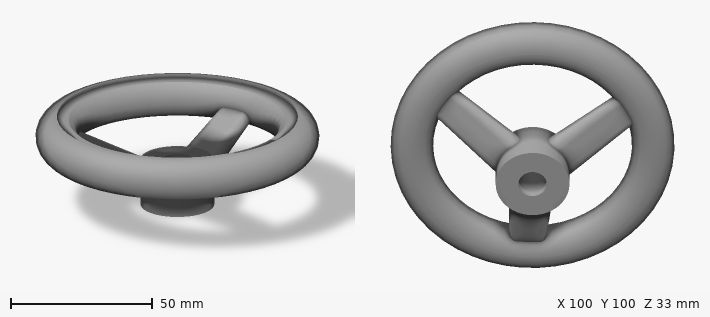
import cadquery as cq
import math

rim_outer_radius = 50.0
rim_section_radius = 7.5
rim_center_radius = rim_outer_radius - rim_section_radius
total_height = 33.0
rim_center_z = total_height - rim_section_radius
flat_inner_radius = 38.3
flat_rise = math.sqrt(rim_section_radius**2 - (rim_center_radius - flat_inner_radius) ** 2)

hub_radius = 13.0
hub_height = 17.0
bore_radius = 5.0

spoke_count = 3
first_spoke_angle = 90.0
spoke_flat_width = 8.0
spoke_root_radius = 8.0
spoke_root_z = 9.4
spoke_root_thickness = 8.0
spoke_tip_thickness = 4.4


def make_rim():
    """Revolve the rim section about Z, with a step at its centre radius."""
    section = (
        cq.Workplane("XZ")
        .moveTo(rim_center_radius, rim_center_z + flat_rise)
        .lineTo(rim_center_radius, total_height)
        .threePointArc(
            (rim_outer_radius, rim_center_z),
            (rim_center_radius, rim_center_z - rim_section_radius),
        )
        .threePointArc(
            (rim_center_radius - rim_section_radius, rim_center_z),
            (flat_inner_radius, rim_center_z + flat_rise),
        )
        .close()
    )
    return section.revolve(360, (0, 0, 0), (0, 1, 0))


def make_spoke(angle):
    """Loft a tapered spoke from inside the hub up to the rim section's centre."""
    run = rim_center_radius - spoke_root_radius
    rise = rim_center_z - spoke_root_z
    root_plane = cq.Plane(
        origin=(spoke_root_radius, 0, spoke_root_z),
        xDir=(0, 1, 0),
        normal=(run, 0, rise),
    )
    spoke = (
        cq.Workplane(root_plane)
        .slot2D(spoke_flat_width + spoke_root_thickness, spoke_root_thickness)
        .workplane(offset=math.hypot(run, rise))
        .slot2D(spoke_flat_width + spoke_tip_thickness, spoke_tip_thickness)
        .loft(ruled=True)
    )
    return spoke.rotate((0, 0, 0), (0, 0, 1), angle)


result = make_rim().union(cq.Workplane("XY").circle(hub_radius).extrude(hub_height))
for index in range(spoke_count):
    result = result.union(make_spoke(first_spoke_angle + index * 360 / spoke_count))
result = result.cut(cq.Workplane("XY").circle(bore_radius).extrude(hub_height))